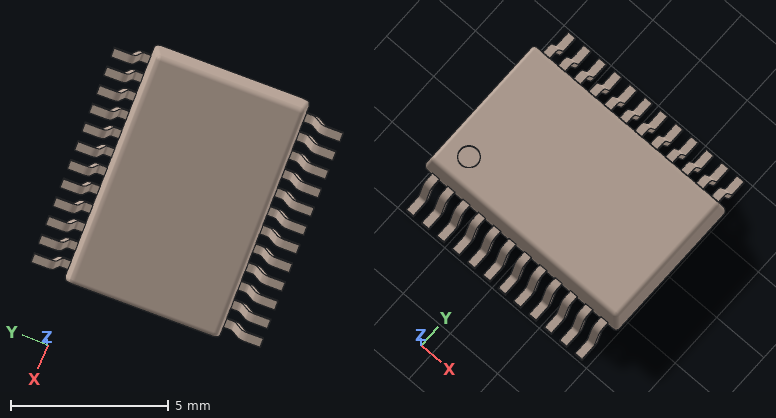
import cadquery as cq
import math

body_length = 8.2
body_width = 5.29
overall_width = 7.8
overall_height = 1.95
standoff = 0.155

side_draft = 10.0
edge_radius = 0.16
corner_radius = 0.14
marker_diameter = 0.72
marker_depth = 0.1
marker_x = -3.07
marker_y = -1.63

leads_per_side = 12
lead_row_span = 7.15
lead_width = 0.3
lead_thickness = 0.16
shoulder_length = 0.2
foot_length = 0.51
lead_bend_angle = 75.0
lead_embed = 0.33

parting_z = (standoff + overall_height) / 2
lead_pitch = lead_row_span / (leads_per_side - 1)
half_height = (overall_height - standoff - lead_thickness) / 2


def tapered_half(face):
    """Drafted half of the body, grown outward from the given face of the parting band."""
    return (
        band.faces(face)
        .workplane()
        .rect(body_length, body_width)
        .extrude(half_height, taper=side_draft, combine=False)
    )


band = (
    cq.Workplane("XY")
    .workplane(offset=parting_z - lead_thickness / 2)
    .rect(body_length, body_width)
    .extrude(lead_thickness)
)
body = band.union(tapered_half(">Z")).union(tapered_half("<Z"))
body = body.edges("not(#Z)").fillet(corner_radius)
body = body.faces("<Z or >Z").edges().fillet(edge_radius)

marker = (
    cq.Workplane("XY", origin=(marker_x, marker_y, overall_height - marker_depth))
    .circle(marker_diameter / 2)
    .extrude(marker_depth)
)
body = body.cut(marker)

bend = math.radians(lead_bend_angle)
shoulder_end_y = body_width / 2 + shoulder_length
foot_start_y = overall_width / 2 - foot_length
foot_z = lead_thickness / 2
run = foot_start_y - shoulder_end_y
drop = parting_z - foot_z
bend_radius = (run * math.sin(bend) - drop * math.cos(bend)) / (2 * (1 - math.cos(bend)))


def upper_bend_point(radius, angle):
    """Point on the upper bend at a radius, turned by an angle from the shoulder."""
    center_z = parting_z - bend_radius
    return (shoulder_end_y + radius * math.sin(angle), center_z + radius * math.cos(angle))


def lower_bend_point(radius, angle):
    """Point on the lower bend at a radius, turned by an angle from the foot."""
    center_z = foot_z + bend_radius
    return (foot_start_y - radius * math.sin(angle), center_z - radius * math.cos(angle))


outer_radius = bend_radius + lead_thickness / 2
inner_radius = bend_radius - lead_thickness / 2
root_y = body_width / 2 - lead_embed
tip_y = overall_width / 2

lead_profile = (
    cq.Workplane("YZ")
    .moveTo(root_y, parting_z + lead_thickness / 2)
    .lineTo(*upper_bend_point(outer_radius, 0))
    .threePointArc(upper_bend_point(outer_radius, bend / 2), upper_bend_point(outer_radius, bend))
    .lineTo(*lower_bend_point(inner_radius, bend))
    .threePointArc(lower_bend_point(inner_radius, bend / 2), lower_bend_point(inner_radius, 0))
    .lineTo(tip_y, lead_thickness)
    .lineTo(tip_y, 0)
    .lineTo(*lower_bend_point(outer_radius, 0))
    .threePointArc(lower_bend_point(outer_radius, bend / 2), lower_bend_point(outer_radius, bend))
    .lineTo(*upper_bend_point(inner_radius, bend))
    .threePointArc(upper_bend_point(inner_radius, bend / 2), upper_bend_point(inner_radius, 0))
    .lineTo(root_y, parting_z - lead_thickness / 2)
    .close()
)
lead = lead_profile.extrude(lead_width / 2, both=True)
opposite_lead = lead.mirror("XZ")

result = body
for index in range(leads_per_side):
    lead_x = (index - (leads_per_side - 1) / 2) * lead_pitch
    for side_lead in (lead, opposite_lead):
        result = result.union(side_lead.translate((lead_x, 0, 0)))